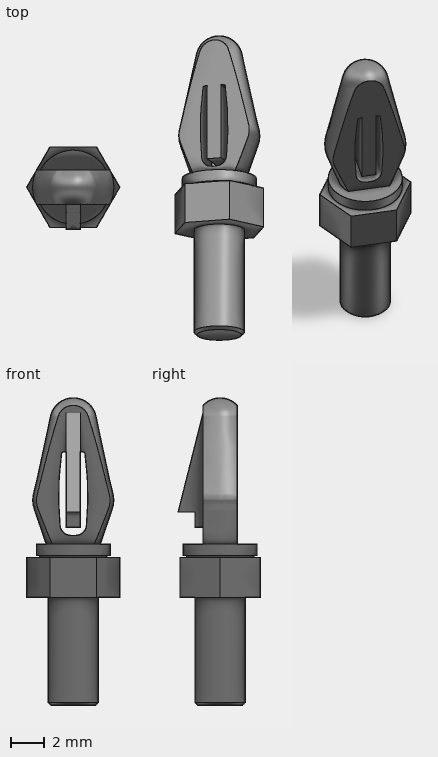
import cadquery as cq

STUD_DIAMETER = 3.0
STUD_LENGTH = 6.42
STUD_CHAMFER = 0.18
HEX_ACROSS_CORNERS = 5.54
HEX_HEIGHT = 2.38
NECK_DIAMETER = 4.0
NECK_HEIGHT = 0.11
COLLAR_DIAMETER = 4.4
COLLAR_HEIGHT = 0.68

TOTAL_HEIGHT = 18.28
BLADE_THICKNESS = 2.05
HEAD_BASE_RADIUS = 1.6
BULGE_LOWER_RADIUS = 2.3
BULGE_LOWER_Z = 11.6
BULGE_RADIUS = 2.41
BULGE_Z = 12.2
BULGE_UPPER_RADIUS = 2.35
BULGE_UPPER_Z = 12.6
TIP_SPHERE_RADIUS = 1.39
TIP_START_Z = 17.22

WINDOW_BOTTOM = 10.1
WINDOW_TOP = 15.06
WINDOW_MIDDLE_Z = 12.7
WINDOW_BOTTOM_HALF_WIDTH = 0.71
WINDOW_MIDDLE_HALF_WIDTH = 0.86
WINDOW_TOP_HALF_WIDTH = 0.68
WINDOW_BOTTOM_FILLET = 0.64
WINDOW_TOP_FILLET = 0.15

LATCH_WIDTH = 0.86
LATCH_TOP = 17.37
LATCH_LEDGE_Z = 11.48
LATCH_BOTTOM = 10.58
LATCH_REACH = 2.5
LATCH_STEP_REACH = 1.5

hex_top = STUD_LENGTH + HEX_HEIGHT
neck_top = hex_top + NECK_HEIGHT
collar_top = neck_top + COLLAR_HEIGHT
blade_face = BLADE_THICKNESS / 2


def cylinder(diameter, bottom, height):
    return cq.Workplane("XY").workplane(offset=bottom).circle(diameter / 2).extrude(height)


def make_base():
    stud = cylinder(STUD_DIAMETER, 0, STUD_LENGTH).faces("<Z").chamfer(STUD_CHAMFER)
    hexagon = (
        cq.Workplane("XY")
        .workplane(offset=STUD_LENGTH)
        .polygon(6, HEX_ACROSS_CORNERS)
        .extrude(HEX_HEIGHT)
    )
    neck = cylinder(NECK_DIAMETER, hex_top, NECK_HEIGHT)
    collar = cylinder(COLLAR_DIAMETER, neck_top, COLLAR_HEIGHT)
    return stud.union(hexagon).union(neck).union(collar)


def make_blade():
    sphere_center_z = TOTAL_HEIGHT - TIP_SPHERE_RADIUS
    tip_start_radius = (TIP_SPHERE_RADIUS**2 - (TIP_START_Z - sphere_center_z) ** 2) ** 0.5
    tip_offset = TIP_SPHERE_RADIUS / 2**0.5
    turned = (
        cq.Workplane("XZ")
        .moveTo(0, collar_top)
        .lineTo(HEAD_BASE_RADIUS, collar_top)
        .lineTo(BULGE_LOWER_RADIUS, BULGE_LOWER_Z)
        .threePointArc((BULGE_RADIUS, BULGE_Z), (BULGE_UPPER_RADIUS, BULGE_UPPER_Z))
        .lineTo(tip_start_radius, TIP_START_Z)
        .threePointArc((tip_offset, sphere_center_z + tip_offset), (0, TOTAL_HEIGHT))
        .close()
        .revolve(360, (0, 0, 0), (0, 1, 0))
    )
    slab = cq.Workplane("XY").box(
        2 * BULGE_RADIUS, BLADE_THICKNESS, TOTAL_HEIGHT, centered=(True, True, False)
    )
    return turned.intersect(slab)


def make_window():
    window = (
        cq.Workplane("XZ")
        .moveTo(-WINDOW_BOTTOM_HALF_WIDTH, WINDOW_BOTTOM)
        .lineTo(WINDOW_BOTTOM_HALF_WIDTH, WINDOW_BOTTOM)
        .threePointArc(
            (WINDOW_MIDDLE_HALF_WIDTH, WINDOW_MIDDLE_Z), (WINDOW_TOP_HALF_WIDTH, WINDOW_TOP)
        )
        .lineTo(-WINDOW_TOP_HALF_WIDTH, WINDOW_TOP)
        .threePointArc(
            (-WINDOW_MIDDLE_HALF_WIDTH, WINDOW_MIDDLE_Z), (-WINDOW_BOTTOM_HALF_WIDTH, WINDOW_BOTTOM)
        )
        .close()
        .extrude(blade_face, both=True)
    )
    window = window.edges("|Y and <Z").fillet(WINDOW_BOTTOM_FILLET)
    return window.edges("|Y and >Z").fillet(WINDOW_TOP_FILLET)


def make_latch():
    outline = [
        (blade_face, LATCH_BOTTOM),
        (-LATCH_STEP_REACH, LATCH_BOTTOM),
        (-LATCH_STEP_REACH, LATCH_LEDGE_Z),
        (-LATCH_REACH, LATCH_LEDGE_Z),
        (-blade_face, LATCH_TOP),
        (blade_face, WINDOW_TOP),
    ]
    return cq.Workplane("YZ").polyline(outline).close().extrude(LATCH_WIDTH / 2, both=True)


result = make_base().union(make_blade().cut(make_window())).union(make_latch())